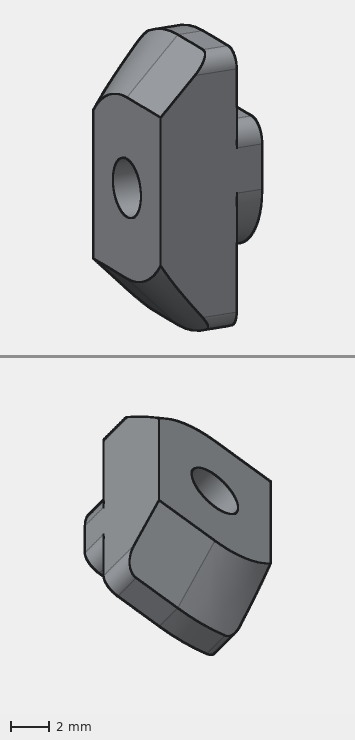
import cadquery as cq
import math

length = 16.0
width = 7.7
total_depth = 6.0
boss_depth = 1.5
bevel = 3.0
corner_radius = 1.0
hole_diameter = 3.2
boss_large_radius = 4.0
boss_upper_radius = 1.2
boss_lower_radius = 1.0

end_radius = length / 2
half_width = width / 2
plate_depth = total_depth - boss_depth
boss_middle = plate_depth + boss_depth / 2
corner_height = math.sqrt(end_radius**2 - half_width**2)
AXIS_START, AXIS_END = (0, 0, 0), (0, 1, 0)


def extrude_back(sketch, start, depth):
    """Extrude an XZ-plane outline toward +Y, beginning at Y = start."""
    return sketch.extrude(-depth).translate((0, start, 0))


def plate_outline():
    """Rectangle with two opposite corners swept by arcs about the hole axis."""
    mid_angle = (math.pi / 2 + math.atan2(corner_height, -half_width)) / 2
    mid_x = end_radius * math.cos(mid_angle)
    mid_z = end_radius * math.sin(mid_angle)
    sketch = (
        cq.Workplane("XZ")
        .moveTo(half_width, end_radius)
        .lineTo(0, end_radius)
        .threePointArc((mid_x, mid_z), (-half_width, corner_height))
        .lineTo(-half_width, -end_radius)
        .lineTo(0, -end_radius)
        .threePointArc((-mid_x, -mid_z), (half_width, -corner_height))
        .close()
    )
    outline = extrude_back(sketch, 0, plate_depth)
    return outline.edges("|Y and (<X or >X)").fillet(corner_radius)


def bevel_half():
    """Upper half of the beveled envelope: flat at +X, conical at -X."""
    profile = [
        (0, 0),
        (0, end_radius - bevel),
        (bevel, end_radius),
        (plate_depth, end_radius),
        (plate_depth, 0),
    ]
    flat = cq.Workplane("YZ").polyline(profile).close().extrude(half_width)
    cone = (
        cq.Workplane("XY")
        .polyline([(-radius, y) for y, radius in profile])
        .close()
        .revolve(360, AXIS_START, AXIS_END)
    )
    quadrant = cq.Workplane("XY").box(
        end_radius, plate_depth, end_radius, centered=False
    ).translate((-end_radius, 0, 0))
    return flat.union(cone.intersect(quadrant))


def boss():
    """Square locating boss with one pair of opposite corners strongly rounded."""
    block = extrude_back(cq.Workplane("XZ").rect(width, width), plate_depth, boss_depth)
    corners = [
        (-half_width, half_width, boss_large_radius),
        (half_width, -half_width, boss_large_radius),
        (half_width, half_width, boss_upper_radius),
        (-half_width, -half_width, boss_lower_radius),
    ]
    for x, z, radius in corners:
        corner_edge = cq.selectors.NearestToPointSelector((x, boss_middle, z))
        block = block.edges("|Y").edges(corner_edge).fillet(radius)
    return block


upper = bevel_half()
lower = upper.rotate(AXIS_START, AXIS_END, 180)
plate = plate_outline().intersect(upper.union(lower))
hole = extrude_back(cq.Workplane("XZ").circle(hole_diameter / 2), 0, total_depth)
result = plate.union(boss()).cut(hole)